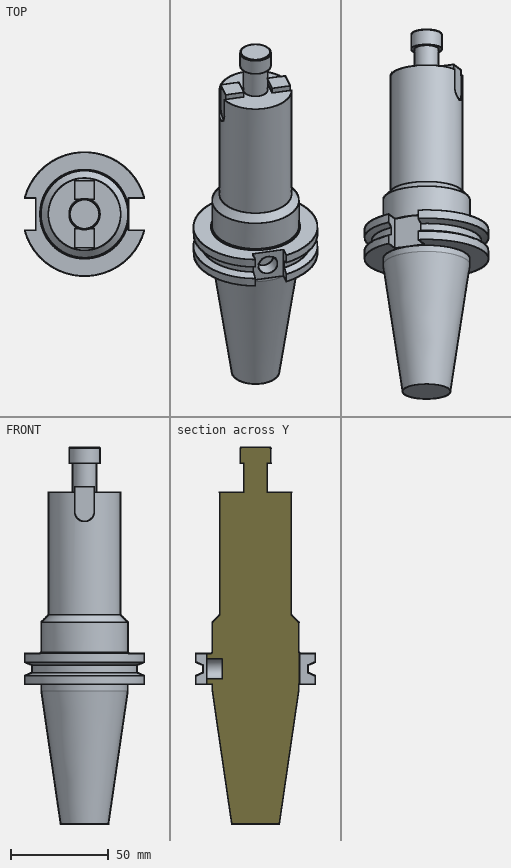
import cadquery as cq


gauge_dia = 44.45
taper_length = 68.25
taper_ratio = 7 / 24
taper_end_dia = gauge_dia - taper_length * taper_ratio

flange_dia = 63.5
flange_bottom = 3.175
flange_top = 19.05
groove_dia = 56.25
groove_mid = 11.1
groove_opening = 7.0
groove_floor = 3.7

slot_width = 16.38
slot_floor_left = 25.0
slot_floor_right = 22.6
slot_hole_dia = 10.0
slot_hole_depth = 8.0
slot_hole_z = (flange_bottom + flange_top) / 2

collar_dia = 44.5
collar_top = 35.0
collar_base_bevel = 0.6
body_dia = 37.0
body_bottom = collar_top + (collar_dia - body_dia) / 2
body_top = 101.5

screw_dia = 12.4
head_dia = 15.875
head_height = 8.3
head_bevel = 0.5
overall_length = 192.71
screw_top = overall_length - taper_length

key_width = 10.0
key_inner = 7.5
key_outer = 17.1
key_rise = 2.8
key_depth = 15.0


def turned_body():
    """Revolve taper, flange, collar, body and clamping screw as one profile."""
    steps = [
        (taper_end_dia, -taper_length),
        (gauge_dia, 0),
        (gauge_dia, flange_bottom),
        (flange_dia, flange_bottom),
        (flange_dia, groove_mid - groove_opening / 2),
        (groove_dia, groove_mid - groove_floor / 2),
        (groove_dia, groove_mid + groove_floor / 2),
        (flange_dia, groove_mid + groove_opening / 2),
        (flange_dia, flange_top),
        (collar_dia + 2 * collar_base_bevel, flange_top),
        (collar_dia, flange_top + collar_base_bevel),
        (collar_dia, collar_top),
        (body_dia, body_bottom),
        (body_dia, body_top),
        (screw_dia, body_top),
        (screw_dia, screw_top - head_height),
        (head_dia, screw_top - head_height),
        (head_dia, screw_top - head_bevel),
        (head_dia - 2 * head_bevel, screw_top),
    ]
    outline = [(0, -taper_length)] + [(dia / 2, z) for dia, z in steps] + [(0, screw_top)]
    return cq.Workplane("XZ").polyline(outline).close().revolve(360, (0, 0, 0), (0, 1, 0))


def drive_slot(side, floor):
    """Cutter for a flange slot on the side of the given X sign, also clearing the collar bevel."""
    length = flange_dia / 2
    return (
        cq.Workplane("XY", origin=(side * (floor + length / 2), 0, flange_bottom))
        .rect(length, slot_width)
        .extrude(flange_top + collar_base_bevel - flange_bottom)
    )


def slot_hole():
    """Blind radial hole in the floor of the -X slot."""
    return (
        cq.Workplane("YZ", origin=(-slot_floor_left, 0, slot_hole_z))
        .circle(slot_hole_dia / 2)
        .extrude(slot_hole_depth)
    )


def key_block(top, y_start, y_end):
    """Upright block with a rounded lower end, running along Y between two positions."""
    half = key_width / 2
    bottom = body_top - key_depth
    return (
        cq.Workplane("XZ", origin=(0, y_start, 0))
        .moveTo(-half, top)
        .lineTo(-half, bottom + half)
        .threePointArc((0, bottom), (half, bottom + half))
        .lineTo(half, top)
        .close()
        .extrude(y_start - y_end)
    )


result = turned_body()
result = result.cut(drive_slot(-1, slot_floor_left))
result = result.cut(drive_slot(1, slot_floor_right))
result = result.cut(slot_hole())
for side in (-1, 1):
    result = result.cut(key_block(body_top, side * key_outer, side * body_dia / 2))
    result = result.union(key_block(body_top + key_rise, side * key_inner, side * key_outer))